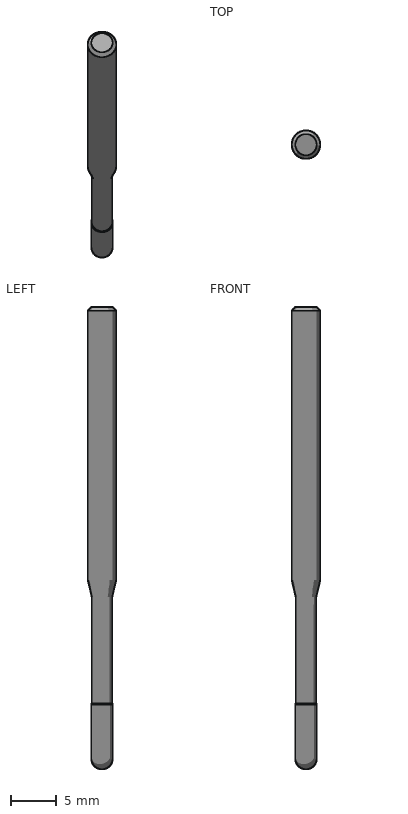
import cadquery as cq

total_length = 50.8
shank_diameter = 3.15
top_chamfer = 0.4

neck_diameter = 2.3
neck_top = 18.95
cone_top = 20.8

head_diameter = 2.4
head_top = 7.1
neck_taper_height = 0.15

shank_radius = shank_diameter / 2
neck_radius = neck_diameter / 2
head_radius = head_diameter / 2
ball_arc_offset = head_radius * 0.5 ** 0.5


def make_shank():
    """Shank, cone and neck, with a short taper out to the head diameter."""
    return (
        cq.Workplane("XZ")
        .moveTo(0, head_top)
        .lineTo(head_radius, head_top)
        .lineTo(neck_radius, head_top + neck_taper_height)
        .lineTo(neck_radius, neck_top)
        .lineTo(shank_radius, cone_top)
        .lineTo(shank_radius, total_length - top_chamfer)
        .lineTo(shank_radius - top_chamfer, total_length)
        .lineTo(0, total_length)
        .close()
        .revolve(360, (0, 0), (0, 1))
    )


def make_head():
    """Cylindrical head with a hemispherical lower end."""
    return (
        cq.Workplane("XZ")
        .threePointArc((ball_arc_offset, head_radius - ball_arc_offset), (head_radius, head_radius))
        .lineTo(head_radius, head_top)
        .lineTo(0, head_top)
        .close()
        .revolve(360, (0, 0), (0, 1))
    )


shank = make_shank()
head = make_head()

result = cq.Compound.makeCompound([shank.val(), head.val()])